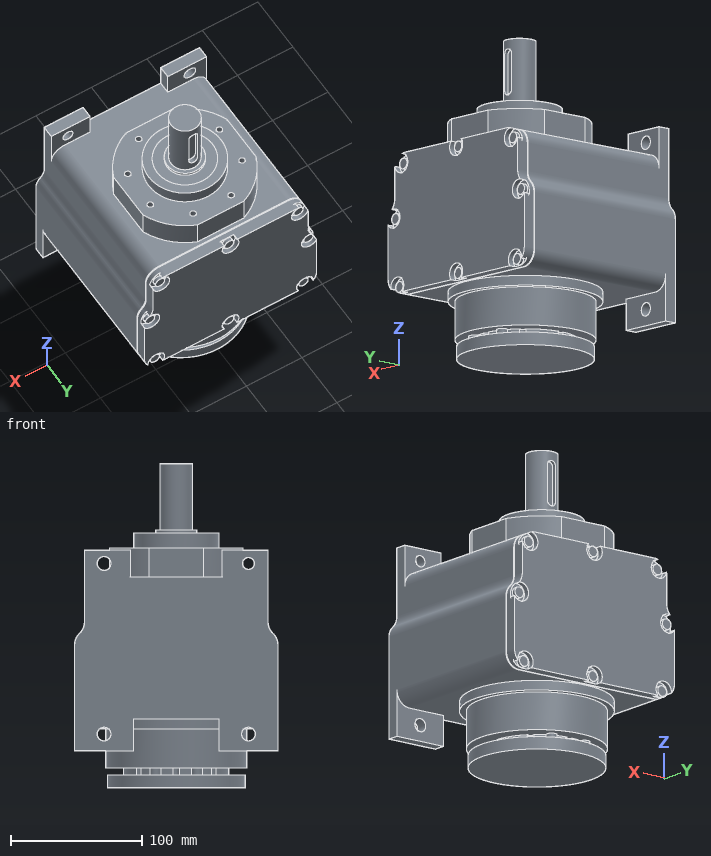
import cadquery as cq
import math


WIDTH = 155.0
NARROW_WIDTH = 140.0
DEPTH = 155.0
HOUSING_BOTTOM = 52.5
HOUSING_TOP = 160.8
SHOULDER_BOTTOM = 109.0
CORNER_RADIUS = 12.0
SHOULDER_RADIUS = 11.9
SHOULDER_ANGLE = 45.0

PLATE_THICKNESS = 10.1
PLATE_BOTTOM = 28.2
PLATE_TOP = 181.0
TOP_NOTCH_WIDTH = 70.0
BOTTOM_NOTCH_WIDTH = 65.0
FOOT_HOLE_SPACING_X = 110.0
FOOT_HOLE_Z = (41.0, 171.0)
FOOT_HOLE_DIAMETER = 10.4
SMALL_FOOT_HOLE_DIAMETER = 9.0

COVER_THICKNESS = 10.0
GASKET_THICKNESS = 0.7
POCKET_RADIUS = 7.5
POCKET_DEPTH = 5.2
SCREW_HEAD_RADIUS = 4.2
SCREW_HEAD_HEIGHT = 3.2
TOP_SCREW_INSET_X = 7.7
TOP_SCREW_INSET_Z = 8.0
MIDDLE_SCREW_INSET_Z = 4.7
SHOULDER_SCREW_INSET_X = 6.2
SHOULDER_SCREW_Z = 111.2
BOTTOM_SCREW_INSET_X = 10.5
BOTTOM_SCREW_INSET_Z = 4.7

OUTPUT_Y = 12.4
FLANGE_WIDTH = 102.0
FLANGE_RADIUS = 55.0
FLANGE_TOP = 182.8
BOSS_RADIUS = 32.5
BOSS_TOP = 194.1
FLANGE_HOLE_COUNT = 8
FLANGE_HOLE_CIRCLE_RADIUS = 44.0
FLANGE_HOLE_DIAMETER = 5.0
FLANGE_HOLE_DEPTH = 12.4
FLANGE_HOLE_FIRST_ANGLE = 20.9
DRILL_TIP_ANGLE = 118.0

SEAL_RADIUS = 25.0
SEAL_DEPTH = 11.4
COLLAR_RADIUS = 15.8
COLLAR_TOP = 196.5
SHAFT_DIAMETER = 25.0
SHAFT_TOP = 247.0
KEYWAY_WIDTH = 8.0
KEYWAY_DEPTH = 4.0
KEYWAY_BOTTOM = 203.8
KEYWAY_TOP = 239.5

ADAPTER_Y = 6.5
DISC_RADIUS = 52.5
DISC_TOP = 10.0
NECK_RADIUS = 40.3
NECK_TOP = 15.0
BARREL_RADIUS = 53.8
BARREL_TOP = 45.0
RIM_RADIUS = 59.0
NECK_GROOVE_COUNT = 8
NECK_GROOVE_RADIUS = 2.5
POST_RADIUS = 4.2
POST_CIRCLE_RADIUS = 41.5
POST_ANGLES = (67.5, 112.5, 247.5, 292.5)

HALF_WIDTH = WIDTH / 2
HALF_NARROW = NARROW_WIDTH / 2
FRONT_Y = -DEPTH / 2
COVER_BACK_Y = DEPTH / 2
COVER_FRONT_Y = COVER_BACK_Y - COVER_THICKNESS
GASKET_FRONT_Y = COVER_FRONT_Y - GASKET_THICKNESS
SEAL_FLOOR = BOSS_TOP - SEAL_DEPTH


def shoulder_points():
    """Start, middle and end of the convex arc, then of the concave arc, up the +X shoulder."""

    def arc_offset(degrees):
        angle = math.radians(degrees)
        return SHOULDER_RADIUS * (1 - math.cos(angle)), SHOULDER_RADIUS * math.sin(angle)

    end_x, end_z = arc_offset(SHOULDER_ANGLE)
    middle_x, middle_z = arc_offset(SHOULDER_ANGLE / 2)
    straight_x = HALF_WIDTH - HALF_NARROW - 2 * end_x
    straight_z = straight_x / math.tan(math.radians(SHOULDER_ANGLE))
    shoulder_top = SHOULDER_BOTTOM + 2 * end_z + straight_z
    return [
        (HALF_WIDTH, SHOULDER_BOTTOM),
        (HALF_WIDTH - middle_x, SHOULDER_BOTTOM + middle_z),
        (HALF_WIDTH - end_x, SHOULDER_BOTTOM + end_z),
        (HALF_NARROW + end_x, shoulder_top - end_z),
        (HALF_NARROW + middle_x, shoulder_top - middle_z),
        (HALF_NARROW, shoulder_top),
    ]


def shouldered_slab(bottom, top, front_y, thickness):
    """Slab with the wide lower part, S-shaped shoulders and narrow upper part."""
    right = shoulder_points()
    left = [(-x, z) for x, z in reversed(right)]
    return (
        cq.Workplane("XZ", origin=(0, front_y, 0))
        .moveTo(-HALF_WIDTH, bottom)
        .lineTo(HALF_WIDTH, bottom)
        .lineTo(*right[0])
        .threePointArc(right[1], right[2])
        .lineTo(*right[3])
        .threePointArc(right[4], right[5])
        .lineTo(HALF_NARROW, top)
        .lineTo(-HALF_NARROW, top)
        .lineTo(*left[0])
        .threePointArc(left[1], left[2])
        .lineTo(*left[3])
        .threePointArc(left[4], left[5])
        .close()
        .extrude(-thickness)
    )


def rounded_slab(front_y, thickness):
    """Slab with the body outline: shouldered, with four rounded corners."""
    slab = shouldered_slab(HOUSING_BOTTOM, HOUSING_TOP, front_y, thickness)
    return slab.faces("<Z or >Z").edges("|Y").fillet(CORNER_RADIUS)


def upright_cylinder(y, radius, bottom, top):
    """Cylinder along Z, centred on X = 0."""
    return cq.Workplane("XY", origin=(0, y, bottom)).circle(radius).extrude(top - bottom)


def plate_block(width, bottom, top):
    """Block through the foot plate, centred on X = 0."""
    return (
        cq.Workplane("XY", origin=(0, FRONT_Y, bottom))
        .rect(width, 2 * PLATE_THICKNESS)
        .extrude(top - bottom)
    )


def make_foot_plate():
    plate = shouldered_slab(PLATE_BOTTOM, PLATE_TOP, FRONT_Y, PLATE_THICKNESS)
    plate = plate.cut(plate_block(TOP_NOTCH_WIDTH, HOUSING_TOP, PLATE_TOP))
    plate = plate.cut(plate_block(BOTTOM_NOTCH_WIDTH, PLATE_BOTTOM, HOUSING_BOTTOM))
    for side in (-1, 1):
        for z in FOOT_HOLE_Z:
            is_small = side > 0 and z == max(FOOT_HOLE_Z)
            diameter = SMALL_FOOT_HOLE_DIAMETER if is_small else FOOT_HOLE_DIAMETER
            hole = (
                cq.Workplane("XZ", origin=(side * FOOT_HOLE_SPACING_X / 2, FRONT_Y, z))
                .circle(diameter / 2)
                .extrude(-PLATE_THICKNESS)
            )
            plate = plate.cut(hole)
    return plate


def drilled_hole():
    """Blind hole with a drill-point end, opening upward at the origin."""
    radius = FLANGE_HOLE_DIAMETER / 2
    tip = radius / math.tan(math.radians(DRILL_TIP_ANGLE / 2))
    return (
        cq.Workplane("XZ")
        .polyline([
            (0, 0),
            (radius, 0),
            (radius, -FLANGE_HOLE_DEPTH),
            (0, -FLANGE_HOLE_DEPTH - tip),
        ])
        .close()
        .revolve(360, (0, 0, 0), (0, 1, 0))
    )


def make_output_flange():
    """Square flange with rounded corners, a round boss and a ring of blind holes."""
    square = (
        cq.Workplane("XY", origin=(0, OUTPUT_Y, HOUSING_TOP))
        .rect(FLANGE_WIDTH, FLANGE_WIDTH)
        .extrude(FLANGE_TOP - HOUSING_TOP)
    )
    flange = square.intersect(upright_cylinder(OUTPUT_Y, FLANGE_RADIUS, HOUSING_TOP, FLANGE_TOP))
    flange = flange.union(upright_cylinder(OUTPUT_Y, BOSS_RADIUS, FLANGE_TOP, BOSS_TOP))
    hole = drilled_hole()
    for index in range(FLANGE_HOLE_COUNT):
        angle = math.radians(FLANGE_HOLE_FIRST_ANGLE + index * 360 / FLANGE_HOLE_COUNT)
        x = FLANGE_HOLE_CIRCLE_RADIUS * math.cos(angle)
        y = OUTPUT_Y + FLANGE_HOLE_CIRCLE_RADIUS * math.sin(angle)
        flange = flange.cut(hole.translate((x, y, FLANGE_TOP)))
    return flange


def make_housing():
    housing = rounded_slab(FRONT_Y, GASKET_FRONT_Y - FRONT_Y)
    housing = housing.union(make_foot_plate()).union(make_output_flange())
    return housing.cut(upright_cylinder(OUTPUT_Y, SEAL_RADIUS, SEAL_FLOOR, BOSS_TOP))


def cover_screw_places():
    """X and Z of every cover screw."""
    places = [
        (0, HOUSING_TOP - MIDDLE_SCREW_INSET_Z),
        (0, HOUSING_BOTTOM + MIDDLE_SCREW_INSET_Z),
    ]
    side_places = [
        (HALF_NARROW - TOP_SCREW_INSET_X, HOUSING_TOP - TOP_SCREW_INSET_Z),
        (HALF_WIDTH - SHOULDER_SCREW_INSET_X, SHOULDER_SCREW_Z),
        (HALF_WIDTH - BOTTOM_SCREW_INSET_X, HOUSING_BOTTOM + BOTTOM_SCREW_INSET_Z),
    ]
    for x, z in side_places:
        places += [(-x, z), (x, z)]
    return places


def make_cover():
    """Cover with screw pockets that break out of its rim and a screw head in each pocket."""
    cover = rounded_slab(COVER_FRONT_Y, COVER_THICKNESS)
    pocket_floor = cq.Workplane("XZ", origin=(0, COVER_BACK_Y - POCKET_DEPTH, 0))
    screw_centres = pocket_floor.pushPoints(cover_screw_places())
    pockets = screw_centres.circle(POCKET_RADIUS).extrude(-POCKET_DEPTH)
    heads = screw_centres.circle(SCREW_HEAD_RADIUS).extrude(-SCREW_HEAD_HEIGHT)
    return cover.cut(pockets).union(heads)


def make_gasket():
    return rounded_slab(GASKET_FRONT_Y, GASKET_THICKNESS)


def make_seal():
    ring = upright_cylinder(OUTPUT_Y, SEAL_RADIUS, SEAL_FLOOR, BOSS_TOP)
    return ring.cut(upright_cylinder(OUTPUT_Y, COLLAR_RADIUS, SEAL_FLOOR, BOSS_TOP))


def make_shaft():
    """Output shaft with a collar that runs in the seal and a keyway on the +Y side."""
    shaft = upright_cylinder(OUTPUT_Y, COLLAR_RADIUS, SEAL_FLOOR, COLLAR_TOP)
    shaft = shaft.union(upright_cylinder(OUTPUT_Y, SHAFT_DIAMETER / 2, COLLAR_TOP, SHAFT_TOP))
    keyway_floor_y = OUTPUT_Y + SHAFT_DIAMETER / 2 - KEYWAY_DEPTH
    keyway_middle_z = (KEYWAY_BOTTOM + KEYWAY_TOP) / 2
    keyway = (
        cq.Workplane("XZ", origin=(0, keyway_floor_y, keyway_middle_z))
        .slot2D(KEYWAY_TOP - KEYWAY_BOTTOM, KEYWAY_WIDTH, 90)
        .extrude(-KEYWAY_DEPTH)
    )
    return shaft.cut(keyway)


def make_motor_adapter():
    """Stepped adapter with a clamp disc on a grooved neck and four posts beside the neck."""
    disc = upright_cylinder(ADAPTER_Y, DISC_RADIUS, 0, DISC_TOP)
    barrel = upright_cylinder(ADAPTER_Y, BARREL_RADIUS, NECK_TOP, BARREL_TOP)
    rim = upright_cylinder(ADAPTER_Y, RIM_RADIUS, BARREL_TOP, HOUSING_BOTTOM)
    neck_height = NECK_TOP - DISC_TOP
    neck_base = cq.Workplane("XY", origin=(0, ADAPTER_Y, DISC_TOP))
    grooves = (
        neck_base.polarArray(NECK_RADIUS, 0, 360, NECK_GROOVE_COUNT)
        .circle(NECK_GROOVE_RADIUS)
        .extrude(neck_height)
    )
    neck = neck_base.circle(NECK_RADIUS).extrude(neck_height).cut(grooves)
    for degrees in POST_ANGLES:
        angle = math.radians(degrees)
        place = (POST_CIRCLE_RADIUS * math.cos(angle), POST_CIRCLE_RADIUS * math.sin(angle))
        neck = neck.union(neck_base.pushPoints([place]).circle(POST_RADIUS).extrude(neck_height))
    return disc.union(neck).union(barrel).union(rim)


housing = make_housing()
gasket = make_gasket()
cover = make_cover()
seal = make_seal()
shaft = make_shaft()
motor_adapter = make_motor_adapter()

result = cq.Compound.makeCompound([
    housing.val(),
    gasket.val(),
    cover.val(),
    seal.val(),
    shaft.val(),
    motor_adapter.val(),
])